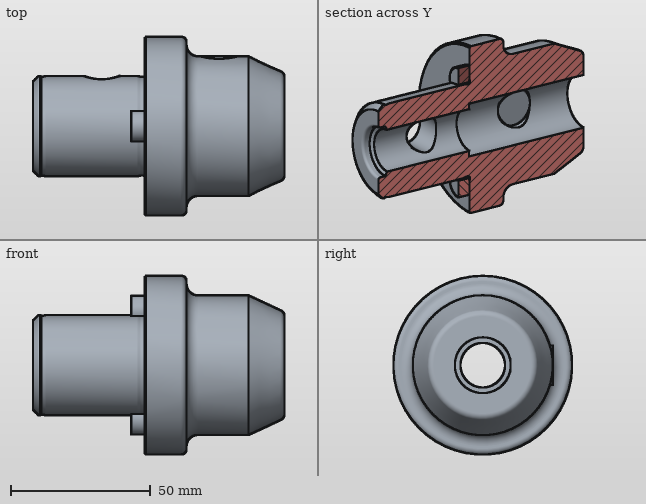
import cadquery as cq
import math


length = 90.0
flange_face_x = 40.0
flange_back_x = 55.0
cone_start_x = 77.0

shank_radius = 18.0
flange_diameter = 64.0
flange_radius = flange_diameter / 2
neck_radius = 25.0
cone_angle = 25.0
shank_chamfer = 2.1
shank_chamfer_round = 0.8
flange_chamfer = 0.5
flange_fillet = 2.0
neck_fillet = 4.0
nose_fillet = 2.3

relief_depth = 0.3
relief_angle = 15.0
relief_taper = relief_depth / math.tan(math.radians(relief_angle))
front_relief_start_x = 2.5
front_relief_end_x = 4.7
front_relief_entry = 0.6
rear_relief_start_x = 37.4
rear_relief_round = 0.6
face_relief_depth = 0.2
face_relief_radius = 19.6

through_radius = 7.9
counterbore_radius = 9.45
counterbore_depth = 3.0
counterbore_floor_angle = 60.0
mouth_fillet = 1.0
tool_bore_radius = 10.0
tool_bore_depth = length - flange_face_x

shank_hole_x = 24.6
shank_hole_radius = 6.5
screw_x = 66.5
screw_radius = 7.0

pin_radius = 5.5
pin_offset = 19.35
pin_length = 4.95
pin_chamfer = 0.3
pin_relief_radius = 18.3


def round_corner(before, corner, after, radius):
    """Start, middle and end points of the arc that rounds a profile corner."""
    def direction(target):
        dx = target[0] - corner[0]
        dr = target[1] - corner[1]
        size = math.hypot(dx, dr)
        return dx / size, dr / size

    u = direction(before)
    v = direction(after)
    half_angle = math.acos(u[0] * v[0] + u[1] * v[1]) / 2
    setback = radius / math.tan(half_angle)
    apex_gap = radius / math.sin(half_angle) - radius
    bisector = (u[0] + v[0], u[1] + v[1])
    bisector_size = math.hypot(*bisector)
    start = (corner[0] + setback * u[0], corner[1] + setback * u[1])
    end = (corner[0] + setback * v[0], corner[1] + setback * v[1])
    middle = (
        corner[0] + apex_gap * bisector[0] / bisector_size,
        corner[1] + apex_gap * bisector[1] / bisector_size,
    )
    return start, middle, end


def revolve_profile(corners):
    """Revolve (x, radius, rounding) corners about X; a rounding of 0 leaves the corner sharp."""
    profile = cq.Workplane("XZ").moveTo(*corners[0][:2])
    for index in range(1, len(corners)):
        x, radius, rounding = corners[index]
        if rounding == 0:
            profile = profile.lineTo(x, radius)
            continue
        before = corners[index - 1][:2]
        after = corners[(index + 1) % len(corners)][:2]
        start, middle, end = round_corner(before, (x, radius), after, rounding)
        profile = profile.lineTo(*start).threePointArc(middle, end)
    return profile.close().revolve(360, (0, 0, 0), (1, 0, 0))


def radial_cylinder(x, radius, inner_y, outer_y):
    """Cylinder along +Y between two distances from the main axis."""
    plane = cq.Plane(origin=(x, inner_y, 0), xDir=(1, 0, 0), normal=(0, 1, 0))
    return cq.Workplane(plane).circle(radius).extrude(outer_y - inner_y)


def make_outer_body():
    relief_radius = shank_radius - relief_depth
    nose_radius = neck_radius - (length - cone_start_x) * math.tan(math.radians(cone_angle))
    return revolve_profile([
        (0, 0, 0),
        (0, shank_radius - shank_chamfer, 0),
        (shank_chamfer, shank_radius, shank_chamfer_round),
        (front_relief_start_x, shank_radius, 0),
        (front_relief_start_x + front_relief_entry, relief_radius, 0),
        (front_relief_end_x - relief_taper, relief_radius, 0),
        (front_relief_end_x, shank_radius, 0),
        (rear_relief_start_x, shank_radius, 0),
        (rear_relief_start_x + relief_taper, relief_radius, rear_relief_round),
        (flange_face_x + face_relief_depth, relief_radius, rear_relief_round),
        (flange_face_x, face_relief_radius, 0),
        (flange_face_x, flange_radius - flange_chamfer, 0),
        (flange_face_x + flange_chamfer, flange_radius, 0),
        (flange_back_x, flange_radius, flange_fillet),
        (flange_back_x, neck_radius, neck_fillet),
        (cone_start_x, neck_radius, 0),
        (length, nose_radius, nose_fillet),
        (length, 0, 0),
    ])


def make_bore():
    radius_step = counterbore_radius - through_radius
    floor_length = radius_step / math.tan(math.radians(counterbore_floor_angle))
    tool_bore_x = length - tool_bore_depth
    return revolve_profile([
        (0, 0, 0),
        (0, counterbore_radius, 0),
        (counterbore_depth, counterbore_radius, 0),
        (counterbore_depth + floor_length, through_radius, 0),
        (tool_bore_x, through_radius, 0),
        (tool_bore_x, tool_bore_radius, 0),
        (length, tool_bore_radius, 0),
        (length, 0, 0),
    ])


def make_holder():
    holder = make_outer_body().cut(make_bore())
    mouth_edge = cq.selectors.RadiusNthSelector(0)
    holder = holder.faces("<X").edges(mouth_edge).fillet(mouth_fillet)
    shank_hole = radial_cylinder(shank_hole_x, shank_hole_radius, 0, shank_radius)
    screw_hole = radial_cylinder(screw_x, screw_radius, 0, neck_radius)
    return holder.cut(shank_hole).cut(screw_hole)


def make_clamp_screw():
    """Headless screw, flush with the neck and ending at the tool bore."""
    return radial_cylinder(screw_x, screw_radius, tool_bore_radius, neck_radius)


def make_drive_pin(side):
    """Pin standing on the flange face at +Z or -Z, hollowed to clear the shank."""
    start_x = flange_face_x - pin_length
    pin = (
        cq.Workplane("YZ", origin=(start_x, 0, side * pin_offset))
        .circle(pin_radius)
        .extrude(pin_length)
        .faces("<X")
        .chamfer(pin_chamfer)
    )
    shank_clearance = (
        cq.Workplane("YZ", origin=(start_x, 0, 0))
        .circle(pin_relief_radius)
        .extrude(pin_length)
    )
    return pin.cut(shank_clearance)


holder = make_holder()
clamp_screw = make_clamp_screw()
drive_pins = [make_drive_pin(side) for side in (1, -1)]

result = cq.Compound.makeCompound([
    holder.val(),
    clamp_screw.val(),
    *[pin.val() for pin in drive_pins],
])